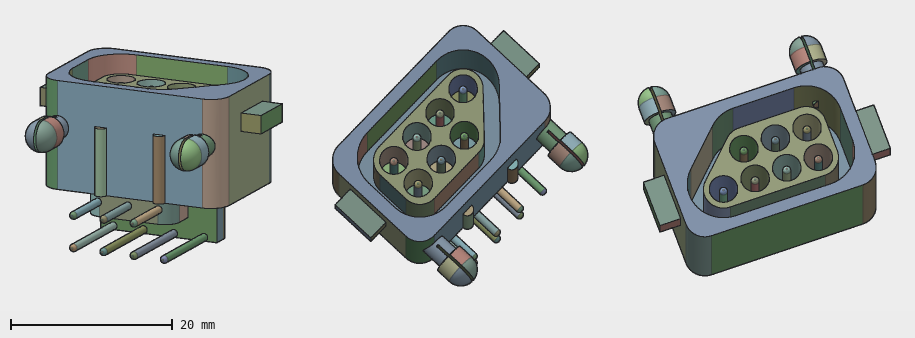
import cadquery as cq

BODY_X = 24.85
BODY_Y = 16.42
BODY_Z = 14.0
BODY_CORNER_R = 2.48
FRONT_Y = -BODY_Y / 2

TAB_SPAN = 30.3
TAB_Y = 6.1
TAB_Z = 2.35
TAB_CENTER_Y = 0.73
TAB_TOP_BELOW_RIM = 2.97
TAB_BOTTOM = BODY_Z - TAB_TOP_BELOW_RIM - TAB_Z

KEY_HALF_X = 6.25
KEY_HALF_Y = 2.25
ISLAND_R = 2.48
CAVITY_GAP = 2.0
CAVITY_R = ISLAND_R + CAVITY_GAP
FLOOR_Z = 2.0
ISLAND_BELOW_RIM = 2.0
ISLAND_TOP = BODY_Z - ISLAND_BELOW_RIM

PIN_PITCH = 4.15
REAR_ROW_Y = 2.2
FRONT_ROW_Y = REAR_ROW_Y - PIN_PITCH
REAR_ROW_COUNT = 4
FRONT_ROW_COUNT = 3
FIRST_PIN_X = -(REAR_ROW_COUNT - 1) * PIN_PITCH / 2
SOCKET_D = 3.5
PIN_D = 1.0
PIN_TIP_FILLET = 0.4
PIN_TIP_RECESS = 0.42
PIN_TIP_TOP = ISLAND_TOP - PIN_TIP_RECESS
TAIL_END_Y = -11.8
FRONT_TAIL_Z = -2.1
REAR_TAIL_Z = FRONT_TAIL_Z - PIN_PITCH

POST_HALF_X = 7.97
POST_BACK_Y = 3.88
POST_STEP_Y = 0.0
POST_FRONT_Y = -4.45
POST_FRONT_RIGHT_X = 4.03
POST_REAR_DEPTH = 6.75
POST_FRONT_DEPTH = 3.97
POST_CORNER_R = 2.0

RIB_R = 0.8
RIB_X = 4.0
RIB_HEIGHT = 8.7

PEG_X = BODY_X / 2 - BODY_CORNER_R
PEG_BELOW_RIM = 6.0
PEG_Z = BODY_Z - PEG_BELOW_RIM
PEG_SHAFT_D = 3.0
PEG_HEAD_D = 4.12
PEG_HEAD_START_Y = -10.7
PEG_DOME_START_Y = -12.73
PEG_SLIT = 0.3
PEG_SLIT_START_Y = -8.73


def box(x_min, x_max, y_min, y_max, z_min, z_max):
    """Axis-aligned block between the given limits."""
    size = (x_max - x_min, y_max - y_min, z_max - z_min)
    return cq.Workplane().box(*size, centered=False).translate((x_min, y_min, z_min))


def rod_to_front(x, z, diameter, y_start, y_end):
    """Cylinder along -Y from y_start to y_end."""
    plane = cq.Workplane("XZ", origin=(x, y_start, z))
    return plane.circle(diameter / 2).extrude(y_start - y_end)


def keyed_prism(corner_r, z_min, z_max):
    """Prism with round corners and one 45 degree side at front right."""
    key_cut = 2 * KEY_HALF_Y
    corners = [
        (-KEY_HALF_X, -KEY_HALF_Y),
        (KEY_HALF_X - key_cut, -KEY_HALF_Y),
        (KEY_HALF_X, KEY_HALF_Y),
        (-KEY_HALF_X, KEY_HALF_Y),
    ]
    outline = cq.Workplane(origin=(0, 0, z_min)).polyline(corners).close()
    return outline.offset2D(corner_r, "arc").extrude(z_max - z_min)


def make_housing():
    body = box(-BODY_X / 2, BODY_X / 2, FRONT_Y, -FRONT_Y, 0, BODY_Z)
    body = body.edges("|Z").fillet(BODY_CORNER_R)
    tabs = box(
        -TAB_SPAN / 2, TAB_SPAN / 2,
        TAB_CENTER_Y - TAB_Y / 2, TAB_CENTER_Y + TAB_Y / 2,
        TAB_BOTTOM, TAB_BOTTOM + TAB_Z,
    )
    cavity = keyed_prism(CAVITY_R, FLOOR_Z, BODY_Z)
    island = keyed_prism(ISLAND_R, FLOOR_Z, ISLAND_TOP)
    return body.union(tabs).cut(cavity).union(island)


def make_post():
    rear = box(-POST_HALF_X, POST_HALF_X, POST_STEP_Y, POST_BACK_Y, -POST_REAR_DEPTH, 0)
    rear = rear.edges("|Z and >Y").fillet(POST_CORNER_R)
    front = box(-POST_HALF_X, POST_FRONT_RIGHT_X, POST_FRONT_Y, POST_STEP_Y, -POST_FRONT_DEPTH, 0)
    front = front.edges("|Z and <Y").fillet(POST_CORNER_R)
    return rear.union(front)


def make_rib(x):
    return cq.Workplane(origin=(x, FRONT_Y, 0)).circle(RIB_R).extrude(RIB_HEIGHT)


def make_peg(x):
    """Shaft with a domed head, split by a vertical slit."""
    shaft = rod_to_front(x, PEG_Z, PEG_SHAFT_D, FRONT_Y + BODY_CORNER_R, PEG_HEAD_START_Y)
    head = rod_to_front(x, PEG_Z, PEG_HEAD_D, PEG_HEAD_START_Y, PEG_DOME_START_Y)
    dome = cq.Workplane().sphere(PEG_HEAD_D / 2).translate((x, PEG_DOME_START_Y, PEG_Z))
    slit = box(
        x - PEG_SLIT / 2, x + PEG_SLIT / 2,
        PEG_DOME_START_Y - PEG_HEAD_D, PEG_SLIT_START_Y,
        PEG_Z - PEG_HEAD_D, PEG_Z + PEG_HEAD_D,
    )
    return shaft.union(head).union(dome).cut(slit)


def make_socket(x, y):
    plane = cq.Workplane(origin=(x, y, FLOOR_Z))
    return plane.circle(SOCKET_D / 2).extrude(ISLAND_TOP - FLOOR_Z)


def make_pin(x, y, tail_z):
    """Upright contact joined to a tail that runs out to the front."""
    contact = cq.Workplane(origin=(x, y, tail_z)).circle(PIN_D / 2).extrude(PIN_TIP_TOP - tail_z)
    contact = contact.faces(">Z").edges().fillet(PIN_TIP_FILLET)
    tail = rod_to_front(x, tail_z, PIN_D, y, TAIL_END_Y)
    tail = tail.faces("<Y").edges().fillet(PIN_TIP_FILLET)
    return contact.union(tail)


result = make_housing().union(make_post())

for side in (-1, 1):
    result = result.union(make_rib(side * RIB_X))
    result = result.union(make_peg(side * PEG_X))

pin_rows = (
    (REAR_ROW_COUNT, REAR_ROW_Y, REAR_TAIL_Z),
    (FRONT_ROW_COUNT, FRONT_ROW_Y, FRONT_TAIL_Z),
)
for count, row_y, tail_z in pin_rows:
    for index in range(count):
        pin_x = FIRST_PIN_X + index * PIN_PITCH
        result = result.cut(make_socket(pin_x, row_y))
        result = result.union(make_pin(pin_x, row_y, tail_z))